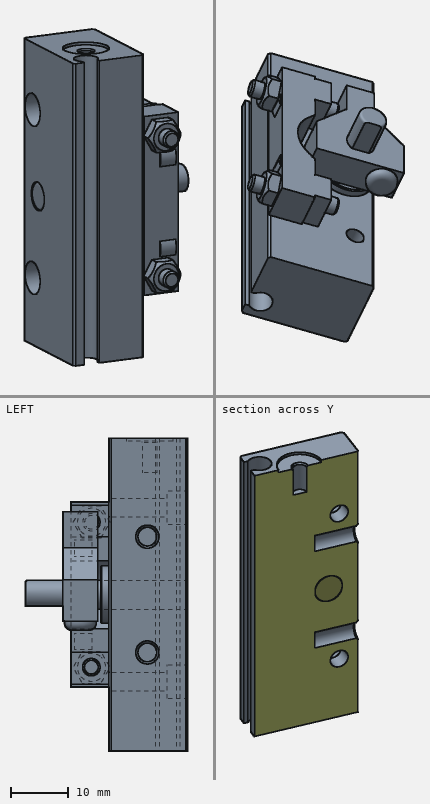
import cadquery as cq
import math


BLOCK_LEFT = -5.55
BLOCK_WIDTH = 19.5
BLOCK_RIGHT = BLOCK_LEFT + BLOCK_WIDTH
BLOCK_DEPTH = 13.6
BLOCK_HEIGHT = 54.0
EDGE_CHAMFER = 0.4

MOUNT_X = -2.0
MOUNT_Z = 15.0
MOUNT_DIAMETER = 3.25
MOUNT_BORE_DIAMETER = 5.8
MOUNT_BORE_DEPTH = 3.6

SIDE_PORT_Y = -6.65
SIDE_PORT_Z = 10.0
SIDE_PORT_DIAMETER = 3.25
SIDE_PORT_MOUTH = 4.0
SIDE_PORT_DEPTH = 8.1

TOP_PORT_X = 5.4
TOP_PORT_Y = -7.0
TOP_RECESS_DIAMETER = 8.0
TOP_RECESS_DEPTH = 0.5
TOP_PORT_DIAMETER = 2.5
TOP_PORT_MOUTH = 3.0
TOP_PORT_DEPTH = 5.4

GROOVE_X = 11.65
GROOVE_Y = -10.15
GROOVE_DIAMETER = 4.2
GROOVE_MOUTH = 2.9

PIVOT_DIAMETER = 5.0
BOSS_DIAMETER = 10.0
BOSS_HEIGHT = 1.4
BOSS_CHAMFER = 0.2

SHAFT_REAR = 14.4
SHAFT_ROUNDING = 0.5
SHAFT_FLAT_Z = -2.0
LEVER_FRONT = 1.9
LEVER_THICKNESS = 6.05
LEVER_HALF_WIDTH = 8.05
LEVER_BOTTOM = -4.6
LEVER_TOP = 14.3
ARM_HALF_WIDTH = 2.55
SHOULDER_Z = 2.55

CLAMP_X = -5.0
CLAMP_HEAD_DIAMETER = 5.5
CLAMP_RIM = 0.3
CLAMP_HEAD_HEIGHT = 1.55

BRACKET_X = 7.85
BRACKET_HALF_HEIGHT = 16.0
BRACKET_DEPTH = 6.55
BRACKET_HOLLOW_X = 11.0
BRACKET_HOLLOW_RADIUS = 6.5
PAD_X = 4.85
PAD_BOTTOM = 9.95
PAD_HEIGHT = 5.5

STOP_Y = 3.0
STOP_Z = 12.55
STOP_DIAMETER = 3.0
STOP_TIP_X = ARM_HALF_WIDTH
STOP_END_X = 18.45
STOP_CHAMFER = 0.3
NUT_FLATS = 5.5
NUT_LENGTH = 2.45
NUT_CHAMFER = 0.75

HEAD_X = 11.55
HEAD_Z = 8.05
HEAD_DIAMETER = 5.5
HEAD_HEIGHT = 3.0
HEAD_SINK = 0.55


def cylinder(diameter, length, start, direction):
    return cq.Workplane(cq.Solid.makeCylinder(diameter / 2, length, cq.Vector(*start), cq.Vector(*direction)))


def port(diameter, mouth, depth, start, direction):
    """Cutter for a blind hole with a 45 degree countersunk mouth."""
    origin = cq.Vector(*start)
    axis = cq.Vector(*direction)
    countersink = cq.Solid.makeCone(mouth / 2, diameter / 2, (mouth - diameter) / 2, origin, axis)
    return cylinder(diameter, depth, start, direction).union(cq.Workplane(countersink))


def make_block():
    block = cq.Workplane("XY").box(BLOCK_WIDTH, BLOCK_DEPTH, BLOCK_HEIGHT, centered=(False, False, True))
    block = block.translate((BLOCK_LEFT, -BLOCK_DEPTH, 0)).edges("|Z").chamfer(EDGE_CHAMFER)
    top = BLOCK_HEIGHT / 2
    for side in (-1, 1):
        mount = (MOUNT_X, -BLOCK_DEPTH, side * MOUNT_Z)
        block = block.cut(cylinder(MOUNT_DIAMETER, BLOCK_DEPTH, mount, (0, 1, 0)))
        block = block.cut(cylinder(MOUNT_BORE_DIAMETER, MOUNT_BORE_DEPTH, mount, (0, 1, 0)))
        side_port = (BLOCK_LEFT, SIDE_PORT_Y, side * SIDE_PORT_Z)
        block = block.cut(port(SIDE_PORT_DIAMETER, SIDE_PORT_MOUTH, SIDE_PORT_DEPTH, side_port, (1, 0, 0)))
    recess = (TOP_PORT_X, TOP_PORT_Y, top)
    block = block.cut(cylinder(TOP_RECESS_DIAMETER, TOP_RECESS_DEPTH, recess, (0, 0, -1)))
    top_port = (TOP_PORT_X, TOP_PORT_Y, top - TOP_RECESS_DEPTH)
    block = block.cut(port(TOP_PORT_DIAMETER, TOP_PORT_MOUTH, TOP_PORT_DEPTH, top_port, (0, 0, -1)))
    groove = cylinder(GROOVE_DIAMETER, BLOCK_HEIGHT, (GROOVE_X, GROOVE_Y, -top), (0, 0, 1))
    mouth = cq.Workplane("XY").box(
        BLOCK_RIGHT - GROOVE_X, GROOVE_MOUTH, BLOCK_HEIGHT, centered=(False, True, True)
    )
    return block.cut(groove).cut(mouth.translate((GROOVE_X, GROOVE_Y, 0)))


def make_bracket():
    """C-shaped bracket whose hollow has 45 degree flanks blending into a round bottom."""
    center_x = BRACKET_HOLLOW_X - BRACKET_HOLLOW_RADIUS
    tangent = BRACKET_HOLLOW_RADIUS * math.sqrt(0.5)
    flank_start = tangent + (center_x + tangent - BRACKET_X)
    bracket = (
        cq.Workplane("XZ")
        .moveTo(BLOCK_RIGHT, -BRACKET_HALF_HEIGHT)
        .lineTo(BRACKET_X, -BRACKET_HALF_HEIGHT)
        .lineTo(BRACKET_X, -flank_start)
        .lineTo(center_x + tangent, -tangent)
        .threePointArc((BRACKET_HOLLOW_X, 0), (center_x + tangent, tangent))
        .lineTo(BRACKET_X, flank_start)
        .lineTo(BRACKET_X, BRACKET_HALF_HEIGHT)
        .lineTo(BLOCK_RIGHT, BRACKET_HALF_HEIGHT)
        .close()
        .extrude(-BRACKET_DEPTH)
    )
    for side in (-1, 1):
        pad = cq.Workplane("XY").box(
            BRACKET_X - PAD_X, BRACKET_DEPTH, PAD_HEIGHT, centered=(False, False, True)
        )
        bracket = bracket.union(pad.translate((PAD_X, 0, side * (PAD_BOTTOM + PAD_HEIGHT / 2))))
        head_top = (HEAD_X, BRACKET_DEPTH - HEAD_SINK, side * HEAD_Z)
        bracket = bracket.union(cylinder(HEAD_DIAMETER, HEAD_HEIGHT, head_top, (0, -1, 0)))
    return bracket


def make_stop_screw(z):
    """Adjusting screw along X with a hexagonal lock nut against the bracket."""
    screw = cylinder(STOP_DIAMETER, STOP_END_X - STOP_TIP_X, (STOP_TIP_X, STOP_Y, z), (1, 0, 0))
    screw = screw.faces("<X or >X").chamfer(STOP_CHAMFER)
    corners = NUT_FLATS / math.cos(math.pi / 6)
    nut = cq.Workplane("YZ").polygon(6, corners).extrude(NUT_LENGTH)
    turned = cq.Workplane("YZ").circle(corners / 2).extrude(NUT_LENGTH).faces(">X").chamfer(NUT_CHAMFER)
    return screw.union(nut.intersect(turned).translate((BLOCK_RIGHT, STOP_Y, z)))


def make_housing():
    housing = make_block().union(make_bracket())
    boss = cylinder(BOSS_DIAMETER, BOSS_HEIGHT, (0, 0, 0), (0, 1, 0)).faces(">Y").chamfer(BOSS_CHAMFER)
    housing = housing.union(boss)
    for side in (-1, 1):
        housing = housing.union(make_stop_screw(side * STOP_Z))
    bore_length = BLOCK_DEPTH + BOSS_HEIGHT
    return housing.cut(cylinder(PIVOT_DIAMETER, bore_length, (0, -BLOCK_DEPTH, 0), (0, 1, 0)))


def make_shaft():
    """Pivot shaft, flattened underneath behind the lever plate."""
    shaft = cylinder(PIVOT_DIAMETER, BLOCK_DEPTH + SHAFT_REAR, (0, -BLOCK_DEPTH, 0), (0, 1, 0))
    shaft = shaft.faces("<Y or >Y").edges().fillet(SHAFT_ROUNDING)
    plate_rear = LEVER_FRONT + LEVER_THICKNESS
    flat = cq.Workplane("XY").box(
        PIVOT_DIAMETER, SHAFT_REAR - plate_rear, PIVOT_DIAMETER, centered=(True, False, False)
    )
    return shaft.cut(flat.translate((0, plate_rear, SHAFT_FLAT_Z - PIVOT_DIAMETER)))


def make_lever_plate():
    slope_top = SHOULDER_Z + LEVER_HALF_WIDTH - ARM_HALF_WIDTH
    half_outline = [
        (LEVER_HALF_WIDTH, LEVER_BOTTOM),
        (LEVER_HALF_WIDTH, SHOULDER_Z),
        (ARM_HALF_WIDTH, slope_top),
        (ARM_HALF_WIDTH, LEVER_TOP),
    ]
    mirrored = [(-x, z) for x, z in reversed(half_outline)]
    plate = cq.Workplane("XZ").polyline(half_outline + mirrored).close().extrude(-LEVER_THICKNESS)
    return plate.translate((0, LEVER_FRONT, 0))


def make_clamp_head():
    """Domed screw head below the lever plate."""
    base = (CLAMP_X, LEVER_FRONT + LEVER_THICKNESS / 2, LEVER_BOTTOM)
    head = cylinder(CLAMP_HEAD_DIAMETER, CLAMP_HEAD_HEIGHT, base, (0, 0, -1))
    return head.faces("<Z").edges().fillet(CLAMP_HEAD_HEIGHT - CLAMP_RIM)


def make_lever():
    return make_shaft().union(make_lever_plate()).union(make_clamp_head())


housing = make_housing()
lever = make_lever()
result = cq.Compound.makeCompound([housing.val(), lever.val()])